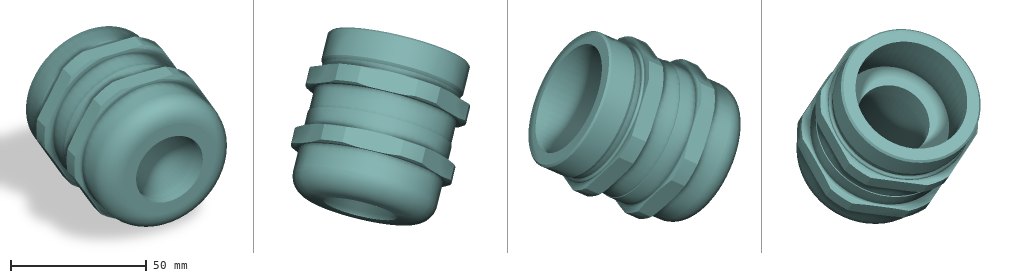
import cadquery as cq

length = 62.0

thread_diameter = 54.0
neck_diameter = 52.5
entry_chamfer_length = 0.75
thread_end = 10.85
neck_start = 12.1

collar_start = 14.2
collar_diameter = 55.1
collar_round = 0.75

body_diameter = thread_diameter
across_flats = 57.0
across_corners = 61.0
body_hex_start = 15.1
body_hex_end = 22.0
body_hex_face_diameter = 58.3
nut_hex_start = 38.0
nut_hex_end = 45.1
nut_hex_face_diameter = 57.55
hex_chamfer_length = 0.55

cap_start = 31.1
cap_diameter = 54.75
dome_radius = 7.95

bore_diameter = 43.2
bore_depth = 22.75
cable_hole_diameter = 28.0


def cylinder(diameter, start, end):
    """Solid cylinder on the X axis between two X positions."""
    return cq.Workplane("YZ", origin=(start, 0, 0)).circle(diameter / 2).extrude(end - start)


def revolved(profile):
    """Turn a profile of (x, radius) points about the X axis."""
    return cq.Workplane("XY").polyline(profile).close().revolve(360, (0, 0, 0), (1, 0, 0))


def hexagon(start, end, face_diameter, chamfer_start):
    """Hexagon with flats facing +Z and -Z, turned corners and conical end chamfers."""
    prism = (
        cq.Workplane("YZ", origin=(start, 0, 0))
        .polygon(6, across_flats, circumscribed=True)
        .extrude(end - start)
        .rotate((0, 0, 0), (1, 0, 0), 30)
    )
    corner_radius = across_corners / 2
    face_radius = face_diameter / 2
    profile = [(start, 0)]
    if chamfer_start:
        profile += [(start, face_radius), (start + hex_chamfer_length, corner_radius)]
    else:
        profile += [(start, corner_radius)]
    profile += [(end - hex_chamfer_length, corner_radius), (end, face_radius), (end, 0)]
    return prism.intersect(revolved(profile))


entry = revolved([
    (0, 0),
    (0, neck_diameter / 2),
    (entry_chamfer_length, thread_diameter / 2),
    (thread_end, thread_diameter / 2),
    (neck_start, neck_diameter / 2),
    (collar_start, neck_diameter / 2),
    (collar_start, 0),
])

collar = cylinder(collar_diameter, collar_start, body_hex_start).faces("<X").edges().fillet(collar_round)
body = cylinder(body_diameter, body_hex_start, cap_start)
body_hex = hexagon(body_hex_start, body_hex_end, body_hex_face_diameter, chamfer_start=False)
cap = cylinder(cap_diameter, cap_start, length).faces(">X").edges().fillet(dome_radius)
nut_hex = hexagon(nut_hex_start, nut_hex_end, nut_hex_face_diameter, chamfer_start=True)

outside = entry.union(collar).union(body).union(body_hex).union(cap).union(nut_hex)

bore = cylinder(bore_diameter, 0, bore_depth)
cable_hole = cylinder(cable_hole_diameter, 0, length)

result = outside.cut(bore).cut(cable_hole)